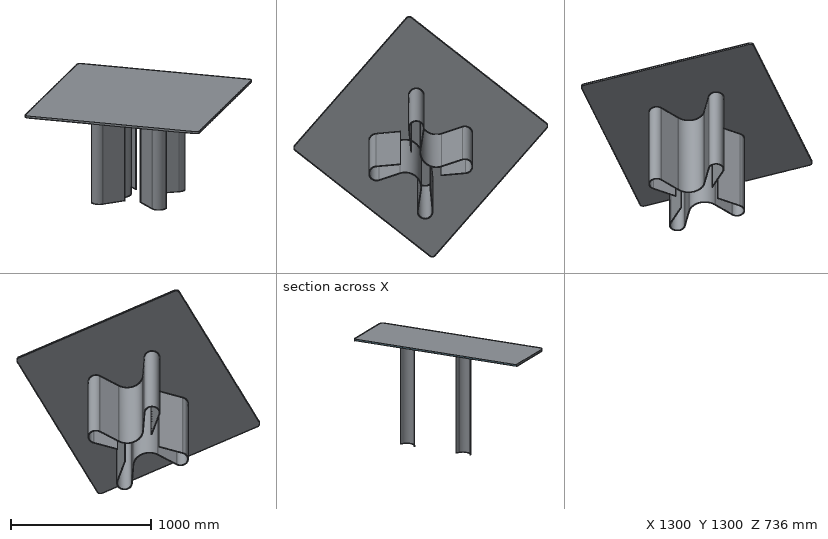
import cadquery as cq
import math

top_side = 1300.0
top_thickness = 15.0
corner_radius = 26.0

total_height = 736.0
leg_height = total_height - top_thickness
sheet = 5.0
leg_reach_x = 278.0
leg_reach_y = 281.0
bend_radius = 56.0
web_radius = 112.0
half_gap = 57.0
flap_angle = math.radians(45)

bend_x = leg_reach_x - bend_radius
bend_y = leg_reach_y - bend_radius
web_x = half_gap + sheet + web_radius

centre_distance = math.hypot(bend_x - web_x, bend_y)
centre_direction = math.atan2(-bend_y, web_x - bend_x)
flat_direction = centre_direction + math.acos((bend_radius + web_radius) / centre_distance)
flap_direction = math.pi - flap_angle
bend_middle = (flat_direction + flap_direction) / 2


def polar(center, radius, angle):
    """Point at the given radius and angle around a centre."""
    return (center[0] + radius * math.cos(angle), center[1] + radius * math.sin(angle))


def mirror_y(point):
    """Point reflected across the X axis."""
    return (point[0], -point[1])


def face_points(depth):
    """+Y half of a sheet face, at a depth below the outside of the bend.

    Returns the web middle, web end, bend start, bend middle, bend end and free edge.
    """
    web = (web_x, 0)
    bend = (bend_x, bend_y)
    outer_start = polar(bend, bend_radius, flap_direction)
    flap_length = (outer_start[0] - half_gap) / math.sin(flap_direction)
    bend_end = polar(bend, bend_radius - depth, flap_direction)
    return [
        (web_x - web_radius - depth, 0),
        polar(web, web_radius + depth, flat_direction + math.pi),
        polar(bend, bend_radius - depth, flat_direction),
        polar(bend, bend_radius - depth, bend_middle),
        bend_end,
        polar(bend_end, flap_length, flap_direction + math.pi / 2),
    ]


def make_top():
    return (
        cq.Workplane("XY")
        .workplane(offset=leg_height)
        .rect(top_side, top_side)
        .extrude(top_thickness)
        .edges("|Z")
        .fillet(corner_radius)
    )


def make_leg():
    """Leg on the +X side: a concave web, two rounded ends and two returning flaps."""
    web_out, web_end_out, start_out, middle_out, end_out, edge_out = face_points(0)
    web_in, web_end_in, start_in, middle_in, end_in, edge_in = face_points(sheet)
    return (
        cq.Workplane("XY")
        .moveTo(*edge_out)
        .lineTo(*end_out)
        .threePointArc(middle_out, start_out)
        .lineTo(*web_end_out)
        .threePointArc(web_out, mirror_y(web_end_out))
        .lineTo(*mirror_y(start_out))
        .threePointArc(mirror_y(middle_out), mirror_y(end_out))
        .lineTo(*mirror_y(edge_out))
        .lineTo(*mirror_y(edge_in))
        .lineTo(*mirror_y(end_in))
        .threePointArc(mirror_y(middle_in), mirror_y(start_in))
        .lineTo(*mirror_y(web_end_in))
        .threePointArc(web_in, web_end_in)
        .lineTo(*start_in)
        .threePointArc(middle_in, end_in)
        .lineTo(*edge_in)
        .close()
        .extrude(leg_height)
    )


table_top = make_top()
legs = [make_leg().rotate((0, 0, 0), (0, 0, 1), turn) for turn in (0, 180)]

result = cq.Compound.makeCompound([table_top.val(), *[leg.val() for leg in legs]])